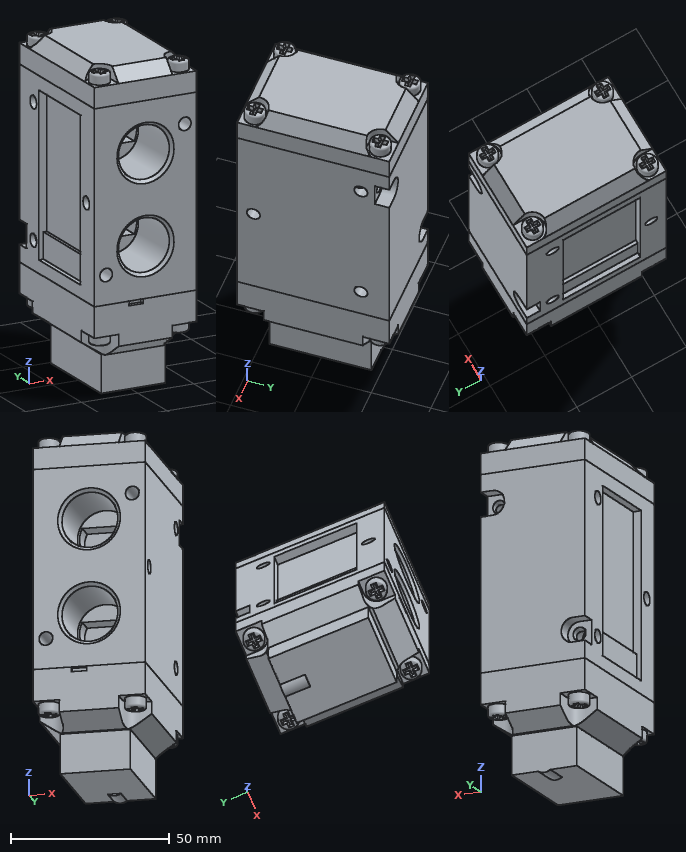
import cadquery as cq
LENGTH = 36.5
WIDTH = 51.0
TOTAL_HEIGHT = 110.5

Z_TOP_JOINT = 98.9
Z_BOTTOM_JOINT = 33.0
Z_BLOCK_JOINT = 13.7
Z_BLOCK_BASE = 0.7
HOUSING_MID = (Z_TOP_JOINT + Z_BOTTOM_JOINT) / 2

TOP_BEVEL_RUN = 4.3
TOP_BEVEL_DROP = 4.5
BOTTOM_BEVEL_RUN = 7.3
BOTTOM_BEVEL_DROP = 4.9

SCREW_X = 14.0
SCREW_Y = 21.0
RECESS_RADIUS = 4.4
TOP_RECESS_DEPTH = 4.5
BOTTOM_RECESS_DEPTH = 8.8
HEAD_RADIUS = 3.4
HEAD_HEIGHT = 3.5
HEAD_ROUND = 0.9
CROSS_LENGTH = 4.9
CROSS_WIDTH = 1.8
CROSS_DEPTH = 1.3
CROSS_TAPER = 22.0

PORT_PITCH = 30.9
PORT_RADIUS = 9.1
PORT_DEPTH = 22.1
PORT_BEVEL = 1.1
PASSAGE_RADIUS = 8.4
PASSAGE_HEIGHT = 7.4
PASSAGE_DEPTH = 6.6

HOLE_DIAMETER = 4.4
HOLE_PITCH = 46.0
FRONT_HOLE_X = 14.0
SIDE_PAIR_Y = 16.0
SIDE_SINGLE_Y = -20.0
NOTCH_HEIGHT = 8.2
NOTCH_DEPTH = 4.9

PANEL_Y_MIN = -16.0
PANEL_Y_MAX = 12.3
PANEL_Z_MIN = 37.6
PANEL_Z_MAX = 94.0
PANEL_STEP_Z = 46.6
PANEL_DEPTH = 2.9
STRIP_DEPTH = 1.7

WINDOW_X = -3.3
WINDOW_LENGTH = 5.1
WINDOW_HEIGHT = 1.5
WINDOW_DEPTH = 1.7

BLOCK_LENGTH = 22.9
BLOCK_WIDTH = 34.3
ENTRY_RADIUS = 3.8
ENTRY_LENGTH = 8.6

CORNER_SIGNS = [(sx, sy) for sx in (-1, 1) for sy in (-1, 1)]


def box_between(x, y, z):
    """Box spanning the (low, high) pairs given for each axis."""
    size = (x[1] - x[0], y[1] - y[0], z[1] - z[0])
    return cq.Workplane("XY").box(*size, centered=False).translate((x[0], y[0], z[0]))


def slab(length, width, z_low, z_high):
    """Box centred on the Z axis."""
    return box_between((-length / 2, length / 2), (-width / 2, width / 2), (z_low, z_high))


def bevelled_plate(height, run, drop):
    """Cover plate on z = 0 with its upper rim bevelled on all four sides."""
    flat = slab(LENGTH, WIDTH, 0, height - drop)
    crown = (
        cq.Workplane("XY").workplane(offset=height - drop).rect(LENGTH, WIDTH)
        .workplane(offset=drop).rect(LENGTH - 2 * run, WIDTH - 2 * run)
        .loft(ruled=True)
    )
    return flat.union(crown)


def corner_recess(sx, sy, floor, height, open_to_side):
    """Round-cornered recess at one screw, running out to the end face and, if asked, to the side."""
    recess = (
        cq.Workplane("XY").workplane(offset=floor)
        .center(sx * SCREW_X, sy * SCREW_Y).circle(RECESS_RADIUS).extrude(height)
    )
    reach = 2 * RECESS_RADIUS
    outlet = box_between((-RECESS_RADIUS, reach), (0, reach), (0, height))
    if open_to_side:
        outlet = outlet.union(box_between((0, reach), (-RECESS_RADIUS, reach), (0, height)))
    if sx < 0:
        outlet = outlet.mirror("YZ")
    if sy < 0:
        outlet = outlet.mirror("XZ")
    return recess.union(outlet.translate((sx * SCREW_X, sy * SCREW_Y, floor)))


def screw_head(sx, sy, seat):
    """Round-edged screw head with a tapered cross recess, standing on z = seat."""
    head = (
        cq.Workplane("XY").circle(HEAD_RADIUS).extrude(HEAD_HEIGHT)
        .faces(">Z").edges().fillet(HEAD_ROUND)
    )
    top_face = cq.Workplane("XY", origin=(0, 0, HEAD_HEIGHT))
    for length, width in ((CROSS_LENGTH, CROSS_WIDTH), (CROSS_WIDTH, CROSS_LENGTH)):
        head = head.cut(top_face.rect(length, width).extrude(-CROSS_DEPTH, taper=CROSS_TAPER))
    return head.translate((sx * SCREW_X, sy * SCREW_Y, seat))


def screwed_cover(height, run, drop, recess_depth, open_to_side):
    """Bevelled plate with a recessed screw head at each corner."""
    cover = bevelled_plate(height, run, drop)
    seat = height - recess_depth
    for sx, sy in CORNER_SIGNS:
        cover = cover.cut(corner_recess(sx, sy, seat, recess_depth, open_to_side))
        cover = cover.union(screw_head(sx, sy, seat))
    return cover


def port(z):
    """Front port: bevelled mouth, round bore and a flat-sided passage in its floor."""
    front = cq.Workplane("XZ", origin=(0, -WIDTH / 2, z))
    bore = front.circle(PORT_RADIUS).extrude(-PORT_DEPTH)
    mouth = cq.Workplane("XY").add(
        cq.Solid.makeCone(
            PORT_RADIUS + PORT_BEVEL, PORT_RADIUS, PORT_BEVEL,
            pnt=cq.Vector(0, -WIDTH / 2, z), dir=cq.Vector(0, 1, 0),
        )
    )
    full_depth = PORT_DEPTH + PASSAGE_DEPTH
    passage = (
        front.circle(PASSAGE_RADIUS).extrude(-full_depth)
        .intersect(front.rect(2 * PASSAGE_RADIUS, PASSAGE_HEIGHT).extrude(-full_depth))
    )
    return bore.union(mouth).union(passage)


def front_hole(side):
    """Hole right through along Y, with a round-ended notch at the back open to the nearer side."""
    x = side * FRONT_HOLE_X
    z = HOUSING_MID + side * HOLE_PITCH / 2
    back = cq.Workplane("XZ", origin=(x, WIDTH / 2, z))
    hole = back.circle(HOLE_DIAMETER / 2).extrude(WIDTH)
    round_end = back.circle(NOTCH_HEIGHT / 2).extrude(NOTCH_DEPTH)
    opening = box_between(
        sorted((x, side * LENGTH / 2)),
        (WIDTH / 2 - NOTCH_DEPTH, WIDTH / 2),
        (z - NOTCH_HEIGHT / 2, z + NOTCH_HEIGHT / 2),
    )
    return hole.union(round_end).union(opening)


def side_holes():
    """Three holes right through along X."""
    centres = [
        (SIDE_PAIR_Y, HOUSING_MID + HOLE_PITCH / 2),
        (SIDE_PAIR_Y, HOUSING_MID - HOLE_PITCH / 2),
        (SIDE_SINGLE_Y, HOUSING_MID),
    ]
    return (
        cq.Workplane("YZ", origin=(-LENGTH / 2, 0, 0))
        .pushPoints(centres).circle(HOLE_DIAMETER / 2).extrude(LENGTH)
    )


def label_panel():
    """Two-level panel sunk into the -X side."""
    face = -LENGTH / 2
    y_span = (PANEL_Y_MIN, PANEL_Y_MAX)
    panel = box_between((face, face + PANEL_DEPTH), y_span, (PANEL_STEP_Z, PANEL_Z_MAX))
    strip = box_between((face, face + STRIP_DEPTH), y_span, (PANEL_Z_MIN, PANEL_STEP_Z))
    return panel.union(strip)


def make_housing():
    body = slab(LENGTH, WIDTH, Z_BOTTOM_JOINT, Z_TOP_JOINT)
    for side in (-1, 1):
        body = body.cut(port(HOUSING_MID + side * PORT_PITCH / 2))
        body = body.cut(front_hole(side))
    return body.cut(side_holes()).cut(label_panel())


def make_top_cover():
    cover = screwed_cover(
        TOTAL_HEIGHT - Z_TOP_JOINT, TOP_BEVEL_RUN, TOP_BEVEL_DROP, TOP_RECESS_DEPTH, open_to_side=False
    )
    return cover.translate((0, 0, Z_TOP_JOINT))


def make_bottom_cover():
    cover = screwed_cover(
        Z_BOTTOM_JOINT - Z_BLOCK_JOINT, BOTTOM_BEVEL_RUN, BOTTOM_BEVEL_DROP, BOTTOM_RECESS_DEPTH,
        open_to_side=True,
    )
    cover = cover.mirror("XY").translate((0, 0, Z_BOTTOM_JOINT))
    window = box_between(
        (WINDOW_X - WINDOW_LENGTH / 2, WINDOW_X + WINDOW_LENGTH / 2),
        (-WIDTH / 2, -WIDTH / 2 + WINDOW_DEPTH),
        (Z_BOTTOM_JOINT - WINDOW_HEIGHT, Z_BOTTOM_JOINT),
    )
    return cover.cut(window)


def make_connector_block():
    block = slab(BLOCK_LENGTH, BLOCK_WIDTH, Z_BLOCK_BASE, Z_BLOCK_JOINT)
    cable_entry = (
        cq.Workplane("XZ", origin=(0, BLOCK_WIDTH / 2, ENTRY_RADIUS))
        .circle(ENTRY_RADIUS).extrude(ENTRY_LENGTH)
    )
    return block.union(cable_entry)


housing = make_housing()
top_cover = make_top_cover()
bottom_cover = make_bottom_cover()
connector_block = make_connector_block()

result = cq.Compound.makeCompound(
    [housing.val(), top_cover.val(), bottom_cover.val(), connector_block.val()]
)